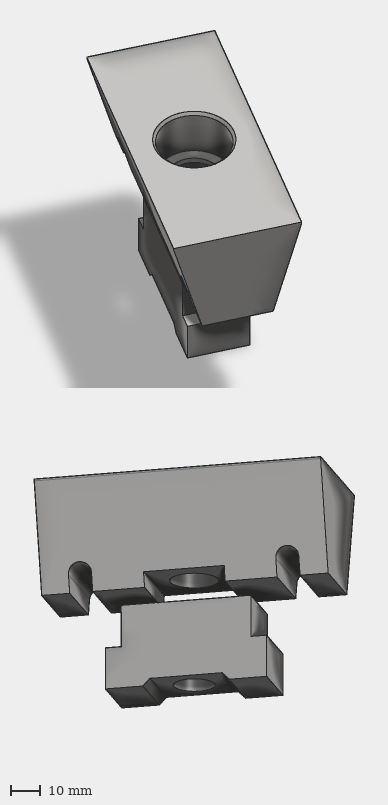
import cadquery as cq
import math

total_height = 72.2
nut_height = 29.0
jaw_height = 38.0
jaw_bottom = total_height - jaw_height

jaw_length = 99.5
jaw_top_width = 45.0
jaw_bottom_width = 25.0
flank_angle = 15.0
end_slot_spacing = 72.0
end_slot_width = 8.0
end_slot_depth = 10.0
key_slot_width = 28.0
key_slot_depth = 5.1

counterbore_diameter = 26.0
counterbore_depth = 17.0
clearance_diameter = 16.5
hole_chamfer = 1.0

nut_length = 56.0
nut_neck_length = 45.0
nut_width = 22.0
nut_foot_height = nut_height / 2
nut_hole_diameter = 14.0
relief_length = 30.0
relief_depth = 2.5


def make_jaw_blank():
    """Wedge along X with leaning flanks and a thin upright rim along the top edges."""
    half_top = jaw_top_width / 2
    half_bottom = jaw_bottom_width / 2
    flank_height = (half_top - half_bottom) / math.tan(math.radians(flank_angle))
    rim_bottom = jaw_bottom + flank_height
    return (
        cq.Workplane("YZ")
        .polyline([
            (-half_bottom, jaw_bottom),
            (half_bottom, jaw_bottom),
            (half_top, rim_bottom),
            (half_top, total_height),
            (-half_top, total_height),
            (-half_top, rim_bottom),
        ])
        .close()
        .extrude(jaw_length / 2, both=True)
    )


def make_end_slot(x):
    """Round-topped slot across the jaw, open at the underside."""
    radius = end_slot_width / 2
    arc_start = jaw_bottom + end_slot_depth - radius
    return (
        cq.Workplane("XZ")
        .moveTo(x - radius, jaw_bottom)
        .lineTo(x - radius, arc_start)
        .threePointArc((x, jaw_bottom + end_slot_depth), (x + radius, arc_start))
        .lineTo(x + radius, jaw_bottom)
        .close()
        .extrude(jaw_top_width / 2, both=True)
    )


def make_key_slot():
    """Flat-topped slot across the middle of the jaw's underside."""
    return (
        cq.Workplane("XY", origin=(0, 0, jaw_bottom))
        .rect(key_slot_width, jaw_top_width)
        .extrude(key_slot_depth)
    )


def make_jaw_hole():
    """Counterbored through hole, chamfered at the mouth and at the counterbore floor."""
    counterbore_radius = counterbore_diameter / 2
    clearance_radius = clearance_diameter / 2
    floor = total_height - counterbore_depth
    return (
        cq.Workplane("XZ")
        .polyline([
            (0, jaw_bottom),
            (clearance_radius, jaw_bottom),
            (clearance_radius, floor - hole_chamfer),
            (clearance_radius + hole_chamfer, floor),
            (counterbore_radius, floor),
            (counterbore_radius, total_height - hole_chamfer),
            (counterbore_radius + hole_chamfer, total_height),
            (0, total_height),
        ])
        .close()
        .revolve(360, (0, 0, 0), (0, 1, 0))
    )


def make_jaw():
    jaw = make_jaw_blank().cut(make_key_slot()).cut(make_jaw_hole())
    for side in (-1, 1):
        jaw = jaw.cut(make_end_slot(side * end_slot_spacing / 2))
    return jaw


def make_nut():
    """Stepped block with a sloped relief underneath and a vertical through hole."""
    half_foot = nut_length / 2
    half_neck = nut_neck_length / 2
    half_relief = relief_length / 2
    half_relief_top = half_relief - relief_depth
    block = (
        cq.Workplane("XZ")
        .polyline([
            (-half_foot, 0),
            (-half_relief, 0),
            (-half_relief_top, relief_depth),
            (half_relief_top, relief_depth),
            (half_relief, 0),
            (half_foot, 0),
            (half_foot, nut_foot_height),
            (half_neck, nut_foot_height),
            (half_neck, nut_height),
            (-half_neck, nut_height),
            (-half_neck, nut_foot_height),
            (-half_foot, nut_foot_height),
        ])
        .close()
        .extrude(nut_width / 2, both=True)
    )
    hole = cq.Workplane("XY").circle(nut_hole_diameter / 2).extrude(nut_height)
    return block.cut(hole)


jaw = make_jaw()
nut = make_nut()

result = cq.Compound.makeCompound([jaw.val(), nut.val()])